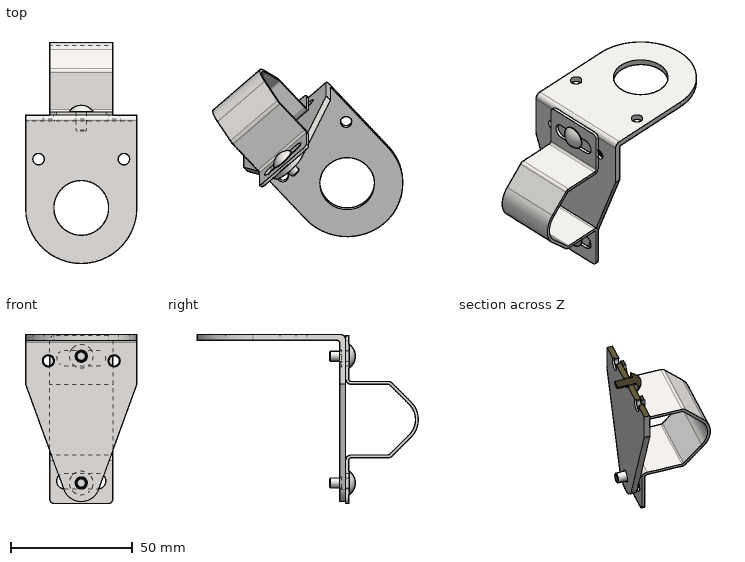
import cadquery as cq
import math


bracket_width = 45.72
shelf_length = 60.96
bracket_thickness = 2.54
bend_outer_radius = 2.3
bend_inner_radius = 0.8
shelf_end_radius = bracket_width / 2
bore_diameter = 22.35
shelf_hole_diameter = 4.6
shelf_hole_spacing = 35.0
shelf_hole_setback = 20.0
shoulder_depth = 20.5
plate_tip_radius = 7.62
plate_hole_diameter = 4.17
counterbore_diameter = 5.0
counterbore_depth = 0.8
side_hole_spacing = 27.0
side_hole_depth = 10.9

upper_screw_depth = 9.0
screw_spacing = 52.0
shank_diameter = plate_hole_diameter
shank_projection = 4.1
shank_tip_chamfer = 0.4
head_diameter = 9.7
head_height = 2.75
head_rim_height = 0.25

strap_thickness = 1.27
strap_width = 26.0
clamp_height = 68.96
clamp_depth = 29.84
saddle_height = 31.4
saddle_nose_radius = 10.2
ramp_angle = 45.0
strap_bend_inner_radius = 1.0
flange_corner_radius = 2.0
slot_length = 20.1
slot_width = 6.35
slot_spacing = 50.4

upper_screw_z = -upper_screw_depth
lower_screw_z = upper_screw_z - screw_spacing
clamp_mid_z = (upper_screw_z + lower_screw_z) / 2
screw_heights = (upper_screw_z, lower_screw_z)


def make_shelf():
    """Horizontal leg with a full-round front end, its bore and two small holes."""
    round_center_y = shelf_end_radius - shelf_length
    shelf = (
        cq.Workplane("XY")
        .moveTo(-bracket_width / 2, 0)
        .lineTo(bracket_width / 2, 0)
        .lineTo(bracket_width / 2, round_center_y)
        .threePointArc((0, -shelf_length), (-bracket_width / 2, round_center_y))
        .close()
        .extrude(-bracket_thickness)
    )
    bore = cq.Workplane("XY").center(0, round_center_y).circle(bore_diameter / 2)
    small_holes = (
        cq.Workplane("XY")
        .center(0, round_center_y + shelf_hole_setback)
        .pushPoints([(-shelf_hole_spacing / 2, 0), (shelf_hole_spacing / 2, 0)])
        .circle(shelf_hole_diameter / 2)
    )
    return shelf.cut(bore.extrude(-bracket_thickness)).cut(small_holes.extrude(-bracket_thickness))


def make_plate():
    """Vertical leg whose sides taper tangentially onto a round tip about the lower screw."""
    half_width = bracket_width / 2
    shoulder_rise = -shoulder_depth - lower_screw_z
    tangent_angle = math.atan2(shoulder_rise, half_width) - math.acos(
        plate_tip_radius / math.hypot(half_width, shoulder_rise)
    )
    tangent_x = plate_tip_radius * math.cos(tangent_angle)
    tangent_z = lower_screw_z + plate_tip_radius * math.sin(tangent_angle)
    return (
        cq.Workplane("XZ")
        .moveTo(-half_width, 0)
        .lineTo(half_width, 0)
        .lineTo(half_width, -shoulder_depth)
        .lineTo(tangent_x, tangent_z)
        .threePointArc((0, lower_screw_z - plate_tip_radius), (-tangent_x, tangent_z))
        .lineTo(-half_width, -shoulder_depth)
        .close()
        .extrude(bracket_thickness)
    )


def make_bracket():
    """Shelf and plate joined by a rounded bend, with counterbored holes in the plate."""
    bracket = make_shelf().union(make_plate())
    outer_corner = (0, 0, 0)
    inner_corner = (0, -bracket_thickness, -bracket_thickness)
    bracket = bracket.edges(cq.NearestToPointSelector(outer_corner)).fillet(bend_outer_radius)
    bracket = bracket.edges(cq.NearestToPointSelector(inner_corner)).fillet(bend_inner_radius)

    hole_centers = [(0, z) for z in screw_heights]
    hole_centers += [(side * side_hole_spacing / 2, -side_hole_depth) for side in (-1, 1)]
    plate_front = cq.Workplane("XZ", origin=(0, -bracket_thickness, 0)).pushPoints(hole_centers)
    holes = plate_front.circle(plate_hole_diameter / 2).extrude(-bracket_thickness)
    counterbores = plate_front.circle(counterbore_diameter / 2).extrude(-counterbore_depth)
    return bracket.cut(holes).cut(counterbores)


def half_strap_face(flange_y, leg_height, nose_radius):
    """Corners of one strap face from the top flange end to the nose, and the nose tip.

    Points are (Y, height above the clamp's middle).
    """
    nose_center_y = clamp_depth - saddle_nose_radius
    ramp = math.radians(ramp_angle)
    nose_end_y = nose_center_y + nose_radius * math.sin(ramp)
    nose_end_z = nose_radius * math.cos(ramp)
    knee_y = nose_end_y - (leg_height - nose_end_z) / math.tan(ramp)
    corners = [
        (flange_y, clamp_height / 2),
        (flange_y, leg_height),
        (knee_y, leg_height),
        (nose_end_y, nose_end_z),
    ]
    nose_tip = (nose_center_y + nose_radius, 0)
    return corners, nose_tip


def make_clamp():
    """Strap of constant thickness bent into a round-nosed saddle, with a slot in each end flange."""
    outer_height = saddle_height / 2
    outer, outer_tip = half_strap_face(strap_thickness, outer_height, saddle_nose_radius)
    inner, inner_tip = half_strap_face(
        0, outer_height - strap_thickness, saddle_nose_radius - strap_thickness
    )
    outer_nose_y, outer_nose_z = outer[-1]
    inner_nose = inner[-1]
    strap = (
        cq.Workplane("YZ", origin=(-strap_width / 2, 0, clamp_mid_z))
        .polyline(outer)
        .threePointArc(outer_tip, (outer_nose_y, -outer_nose_z))
    )
    for y, z in reversed(outer[:-1]):
        strap = strap.lineTo(y, -z)
    for y, z in inner:
        strap = strap.lineTo(y, -z)
    strap = strap.threePointArc(inner_tip, inner_nose)
    for y, z in reversed(inner[:-1]):
        strap = strap.lineTo(y, z)
    strap = strap.close().extrude(strap_width)

    convex_radius = strap_bend_inner_radius + strap_thickness
    bends = [
        (outer[1], strap_bend_inner_radius),
        (inner[1], convex_radius),
        (outer[2], convex_radius),
        (inner[2], strap_bend_inner_radius),
    ]
    for (y, z), radius in bends:
        for side in (-1, 1):
            corner = (0, y, clamp_mid_z + side * z)
            strap = strap.edges("|X").edges(cq.NearestToPointSelector(corner)).fillet(radius)

    for end in ("<Z", ">Z"):
        strap = strap.faces(end).edges("|Y").fillet(flange_corner_radius)
    slots = (
        cq.Workplane("XZ")
        .pushPoints([(0, clamp_mid_z + side * slot_spacing / 2) for side in (-1, 1)])
        .slot2D(slot_length, slot_width)
        .extrude(-strap_thickness)
    )
    return strap.cut(slots)


def make_screw(z):
    """Domed screw along Y: head behind the clamp flange, shank tip in front of the plate."""
    tip_y = -bracket_thickness - shank_projection
    head_y = strap_thickness
    rim_y = head_y + head_rim_height
    shank_radius = shank_diameter / 2
    head_radius = head_diameter / 2
    dome_height = head_height - head_rim_height
    dome_radius = (head_radius**2 + dome_height**2) / (2 * dome_height)
    half_angle = math.asin(head_radius / dome_radius) / 2
    dome_center_y = head_y + head_height - dome_radius
    dome_mid = (
        -dome_radius * math.sin(half_angle),
        dome_center_y + dome_radius * math.cos(half_angle),
    )
    return (
        cq.Workplane("XY", origin=(0, 0, z))
        .moveTo(0, tip_y)
        .lineTo(shank_tip_chamfer - shank_radius, tip_y)
        .lineTo(-shank_radius, tip_y + shank_tip_chamfer)
        .lineTo(-shank_radius, head_y)
        .lineTo(-head_radius, head_y)
        .lineTo(-head_radius, rim_y)
        .threePointArc(dome_mid, (0, head_y + head_height))
        .close()
        .revolve(360, (0, 0, 0), (0, 1, 0))
    )


bracket = make_bracket()
clamp = make_clamp()
screws = [make_screw(z) for z in screw_heights]

result = cq.Compound.makeCompound([bracket.val(), clamp.val(), *[screw.val() for screw in screws]])